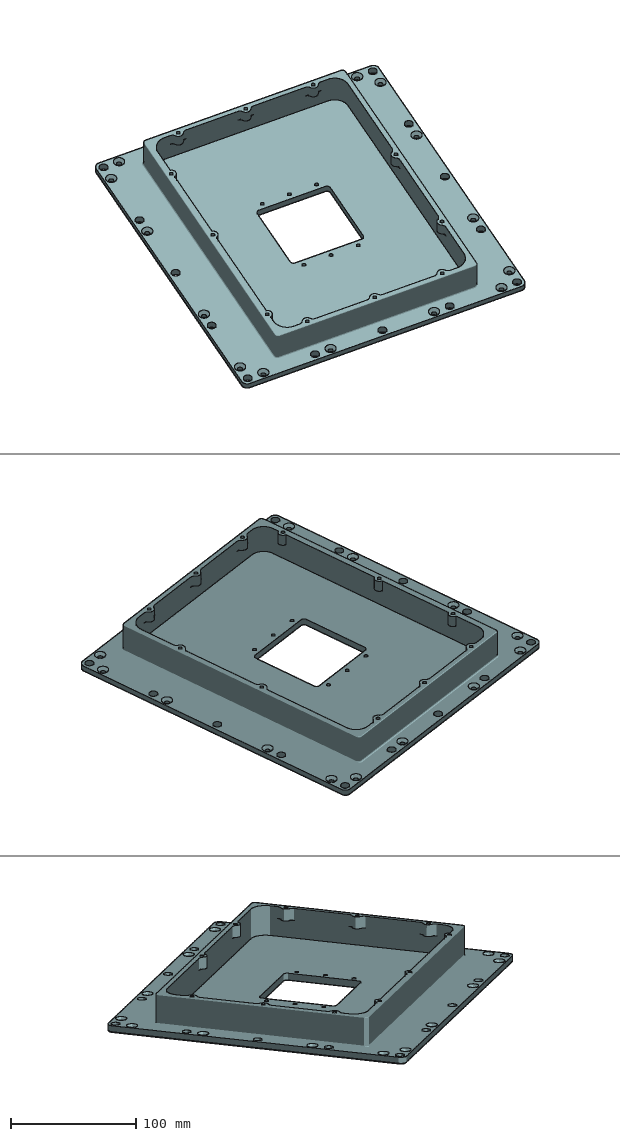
import cadquery as cq
import math

length_x = 272.0
length_y = 252.0
total_height = 31.0
flange_thickness = 6.0
flange_corner_radius = 5.0
flange_chamfer = 1.0

wall_length_x = 241.8
wall_length_y = 179.8
wall_thickness = 4.5
front_wall_extra = 1.0
wall_corner_radius = 3.0
wall_top_fillet = 0.5
wall_foot_fillet = 1.0
cavity_corner_radius = 12.0

hole_inset = 6.0
hole_diameter = 7.0
screw_diameter = 4.0
countersink_diameter = 9.0
countersink_angle = 90.0
screw_offset = 14.0

boss_radius = 4.0
boss_height = 10.0
boss_blend_radius = 4.0
boss_hole_diameter = 3.0
boss_spacing_y = 60.0
back_boss_x = (-18.0, 65.0)
front_boss_x = (-78.0, -3.0, 95.0)

window_size = 65.0
window_corner_radius = 3.0
window_hole_x = 37.5
window_hole_spacing = 24.2
window_hole_diameter = 3.0

cavity_x = wall_length_x - 2 * wall_thickness
cavity_y = wall_length_y - 2 * wall_thickness
cavity_depth = total_height - flange_thickness
hole_x = length_x / 2 - hole_inset
hole_y = length_y / 2 - hole_inset


def rounded_block(size_x, size_y, height, corner_radius, base_z):
    """Upright block centred on the Z axis with rounded vertical edges."""
    block = cq.Workplane("XY", origin=(0, 0, base_z)).rect(size_x, size_y).extrude(height)
    return block.edges("|Z").fillet(corner_radius)


def is_wall_foot(edge):
    """True for an edge where the outside of the wall meets the flange top."""
    margin = 0.03
    center = edge.Center()
    inside_x = abs(center.x) < wall_length_x / 2 + margin
    inside_y = abs(center.y) < wall_length_y / 2 + margin
    return inside_x and inside_y and abs(center.z - flange_thickness) < margin


def make_boss(x, y, inward_angle, blend_radius):
    """Half-round boss on the cavity wall, with concave arcs into the wall if a blend radius is given."""
    reach = math.sqrt(boss_radius**2 + 2 * boss_radius * blend_radius)
    meet_angle = math.atan2(blend_radius, reach)
    meet_x = boss_radius * math.cos(meet_angle)
    meet_y = boss_radius * math.sin(meet_angle)
    middle_angle = (meet_angle + math.pi / 2) / 2
    middle_x = reach - blend_radius * math.cos(middle_angle)
    middle_y = blend_radius - blend_radius * math.sin(middle_angle)
    root = wall_thickness / 2

    outline = cq.Workplane("XY").moveTo(-reach, -root).lineTo(-reach, 0)
    if blend_radius > 0:
        outline = outline.threePointArc((-middle_x, middle_y), (-meet_x, meet_y))
    outline = outline.threePointArc((0, boss_radius), (meet_x, meet_y))
    if blend_radius > 0:
        outline = outline.threePointArc((middle_x, middle_y), (reach, 0))
    boss = outline.lineTo(reach, -root).close().extrude(boss_height)
    boss = boss.rotate((0, 0, 0), (0, 0, 1), inward_angle)
    return boss.translate((x, y, total_height - boss_height))


flange = rounded_block(length_x, length_y, flange_thickness, flange_corner_radius, 0)
flange = flange.faces("<Z").edges().chamfer(flange_chamfer)
wall = rounded_block(wall_length_x, wall_length_y, cavity_depth, wall_corner_radius, flange_thickness)
wall = wall.faces(">Z").edges().fillet(wall_top_fillet)
body = flange.union(wall)
foot_edges = [edge for edge in body.edges().vals() if is_wall_foot(edge)]
body = body.newObject(foot_edges).fillet(wall_foot_fillet)

cavity = rounded_block(
    cavity_x, cavity_y - front_wall_extra, cavity_depth, cavity_corner_radius, flange_thickness
)
body = body.cut(cavity.translate((0, front_wall_extra / 2, 0)))

bosses = [
    (side * cavity_x / 2, row * boss_spacing_y, side * 90, boss_blend_radius)
    for side in (-1, 1)
    for row in (-1, 0, 1)
]
bosses += [(x, cavity_y / 2, 180, boss_blend_radius) for x in back_boss_x]
bosses += [(x, -cavity_y / 2, 0, 0) for x in front_boss_x]
for x, y, inward_angle, blend_radius in bosses:
    body = body.union(make_boss(x, y, inward_angle, blend_radius))
boss_holes = (
    cq.Workplane("XY", origin=(0, 0, total_height - boss_height))
    .pushPoints([(x, y) for x, y, inward_angle, blend_radius in bosses])
    .circle(boss_hole_diameter / 2)
    .extrude(boss_height)
)
body = body.cut(boss_holes)

flange_top = cq.Workplane("XY", origin=(0, 0, flange_thickness))
hole_points = [(step * hole_x / 2, side * hole_y) for step in (-2, -1, 0, 1, 2) for side in (-1, 1)]
hole_points += [(side * hole_x, step * hole_y / 2) for step in (-1, 0, 1) for side in (-1, 1)]
body = body.cut(flange_top.pushPoints(hole_points).circle(hole_diameter / 2).extrude(-flange_thickness))

screw_points = []
for side_x in (-1, 1):
    for side_y in (-1, 1):
        for share in (0.5, 1):
            screw_points.append((side_x * (share * hole_x - screw_offset), side_y * hole_y))
            screw_points.append((side_x * hole_x, side_y * (share * hole_y - screw_offset)))
body = body.cut(flange_top.pushPoints(screw_points).circle(screw_diameter / 2).extrude(-flange_thickness))
countersink_slope = math.tan(math.radians(countersink_angle / 2))
countersink_depth = (countersink_diameter - screw_diameter) / 2 / countersink_slope
cone = cq.Solid.makeCone(screw_diameter / 2, countersink_diameter / 2, countersink_depth)
for x, y in screw_points:
    countersink = cone.translate(cq.Vector(x, y, flange_thickness - countersink_depth))
    body = body.cut(cq.Workplane(countersink))

body = body.cut(rounded_block(window_size, window_size, flange_thickness, window_corner_radius, 0))
window_hole_points = [
    (side * window_hole_x, row * window_hole_spacing)
    for side in (-1, 1)
    for row in (-1, 0, 1)
]
window_holes = flange_top.pushPoints(window_hole_points).circle(window_hole_diameter / 2)
result = body.cut(window_holes.extrude(-flange_thickness))